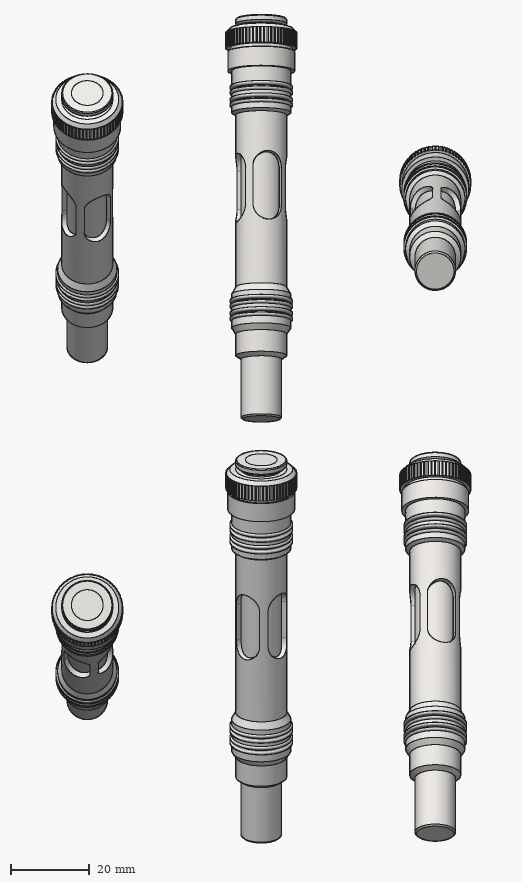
import cadquery as cq
ROD_DIA = 10.3
TUBE_DIA = 13.0
HEAD_DIA = 13.0
SEAL_LAND_DIA = 15.0
LIP_DIA = 16.0
GROOVE_DIA = 13.8
COLLAR_DIA = 17.0
RING_SKIRT_DIA = 16.0
KNURL_DIA = 18.0
KNURL_ROOT_DIA = 17.7
INSERT_DIA = 8.0

TOTAL_HEIGHT = 103.0
HEAD_BOTTOM = 101.1
RING_TOP = 100.4
KNURL_TOP = 99.4
KNURL_BOTTOM = 95.4
COLLAR_TOP = 94.4
COLLAR_BOTTOM = 89.5
UPPER_LAND_BOTTOM = 78.8
UPPER_TAPER_BOTTOM = 78.2
LOWER_TAPER_TOP = 33.9
LOWER_LAND_TOP = 32.0
LOWER_LAND_BOTTOM = 23.4
LOWER_TAPER_BOTTOM = 21.8
TUBE_CHAMFER_TOP = 16.3
TUBE_BOTTOM = 15.3

HEAD_TOP_CHAMFER = 0.26
HEAD_UNDERCUT = 0.5
ROD_END_CHAMFER = 0.4
INSERT_DEPTH = 1.0
RING_TOP_FLAT_DIA = 16.0
KNURL_COUNT = 60
KNURL_WIDTH = 0.3
LIP_THICKNESS = 0.9
LIP_SPACING = 1.3
LIP_PAIR_PITCH = 3.2
UPPER_SEAL_TOP_LIP = 85.3
LOWER_SEAL_TOP_LIP = 30.3
SLOT_FLOOR_WIDTH = 7.1
SLOT_FLOOR_TOP = 67.7
SLOT_FLOOR_BOTTOM = 50.7
SLOT_START = 3.5
SLOT_OVERCUT = 0.2
SLOT_DRAFT = 6.0
SLOT_COUNT = 4


def cylinder(diameter, bottom, top):
    return cq.Workplane("XY").workplane(offset=bottom).circle(diameter / 2).extrude(top - bottom)


def cone(bottom_dia, top_dia, bottom, top):
    height = top - bottom
    return cq.Workplane(cq.Solid.makeCone(bottom_dia / 2, top_dia / 2, height, cq.Vector(0, 0, bottom)))


def seal_lip(height):
    """Flat ring with a half-round rim, centred on the given height."""
    half = LIP_THICKNESS / 2
    inner = TUBE_DIA / 2
    land = SEAL_LAND_DIA / 2
    rim = LIP_DIA / 2
    return (
        cq.Workplane("XZ")
        .moveTo(inner, height - half)
        .lineTo(land, height - half)
        .threePointArc((rim, height), (land, height + half))
        .lineTo(inner, height + half)
        .close()
        .revolve(360, (0, 0, 0), (0, 1, 0))
    )


def add_seal(tube, top_lip):
    """Add two pairs of lips, with a groove between the lips of each pair."""
    for upper in (top_lip, top_lip - LIP_PAIR_PITCH):
        lower = upper - LIP_SPACING
        groove = cylinder(SEAL_LAND_DIA, lower, upper).cut(cylinder(GROOVE_DIA, lower, upper))
        tube = tube.cut(groove).union(seal_lip(upper)).union(seal_lip(lower))
    return tube


def window(angle):
    """Round-ended slot cutter that widens from inside the bore out through the tube wall."""
    return (
        cq.Workplane("XZ", origin=(0, -SLOT_START, 0))
        .center(0, (SLOT_FLOOR_TOP + SLOT_FLOOR_BOTTOM) / 2)
        .slot2D(SLOT_FLOOR_TOP - SLOT_FLOOR_BOTTOM, SLOT_FLOOR_WIDTH, 90)
        .extrude(TUBE_DIA / 2 + SLOT_OVERCUT - SLOT_START, taper=-SLOT_DRAFT)
        .rotate((0, 0, 0), (0, 0, 1), angle)
    )


def make_tube():
    tube = cylinder(TUBE_DIA, TUBE_CHAMFER_TOP, COLLAR_TOP)
    tube = tube.union(cone(ROD_DIA, TUBE_DIA, TUBE_BOTTOM, TUBE_CHAMFER_TOP))
    tube = tube.union(cylinder(SEAL_LAND_DIA, UPPER_LAND_BOTTOM, COLLAR_TOP))
    tube = tube.union(cone(TUBE_DIA, SEAL_LAND_DIA, UPPER_TAPER_BOTTOM, UPPER_LAND_BOTTOM))
    tube = tube.union(cone(SEAL_LAND_DIA, TUBE_DIA, LOWER_LAND_TOP, LOWER_TAPER_TOP))
    tube = tube.union(cylinder(SEAL_LAND_DIA, LOWER_LAND_BOTTOM, LOWER_LAND_TOP))
    tube = tube.union(cone(TUBE_DIA, SEAL_LAND_DIA, LOWER_TAPER_BOTTOM, LOWER_LAND_BOTTOM))
    tube = add_seal(tube, UPPER_SEAL_TOP_LIP)
    tube = add_seal(tube, LOWER_SEAL_TOP_LIP)
    tube = tube.cut(cylinder(ROD_DIA, 0, TOTAL_HEIGHT))
    for index in range(SLOT_COUNT):
        tube = tube.cut(window(index * 360 / SLOT_COUNT))
    return tube


def make_collar():
    collar = cylinder(COLLAR_DIA, COLLAR_BOTTOM, COLLAR_TOP)
    return collar.cut(cylinder(SEAL_LAND_DIA, COLLAR_BOTTOM, COLLAR_TOP))


def make_knurled_ring():
    knurl_height = KNURL_TOP - KNURL_BOTTOM
    ring = cylinder(KNURL_DIA, KNURL_BOTTOM, KNURL_TOP)
    grooves = (
        cq.Workplane("XY")
        .workplane(offset=KNURL_BOTTOM)
        .polarArray(KNURL_DIA / 2, 0, 360, KNURL_COUNT)
        .rect(KNURL_DIA - KNURL_ROOT_DIA, KNURL_WIDTH)
        .extrude(knurl_height)
    )
    ring = ring.cut(grooves)
    ring = ring.union(cone(KNURL_ROOT_DIA, RING_TOP_FLAT_DIA, KNURL_TOP, RING_TOP))
    ring = ring.union(cylinder(RING_SKIRT_DIA, COLLAR_TOP, KNURL_BOTTOM))
    return ring.cut(cylinder(TUBE_DIA, COLLAR_TOP, RING_TOP))


def make_bushing():
    """Sleeve that fills the ring bore around the rod, flush with the ring's top face."""
    return cylinder(TUBE_DIA, COLLAR_TOP, RING_TOP).cut(cylinder(ROD_DIA, COLLAR_TOP, RING_TOP))


def make_plunger():
    rod = cylinder(ROD_DIA, 0, HEAD_BOTTOM).faces("<Z").chamfer(ROD_END_CHAMFER)
    head = cylinder(HEAD_DIA, HEAD_BOTTOM, TOTAL_HEIGHT)
    head = head.faces("<Z").chamfer(HEAD_UNDERCUT).faces(">Z").chamfer(HEAD_TOP_CHAMFER)
    pocket = cylinder(INSERT_DIA, TOTAL_HEIGHT - INSERT_DEPTH, TOTAL_HEIGHT)
    return rod.union(head).cut(pocket)


def make_insert():
    return cylinder(INSERT_DIA, TOTAL_HEIGHT - INSERT_DEPTH, TOTAL_HEIGHT)


tube = make_tube()
collar = make_collar()
ring = make_knurled_ring()
bushing = make_bushing()
plunger = make_plunger()
insert = make_insert()

result = cq.Compound.makeCompound(
    [tube.val(), collar.val(), ring.val(), bushing.val(), plunger.val(), insert.val()]
)